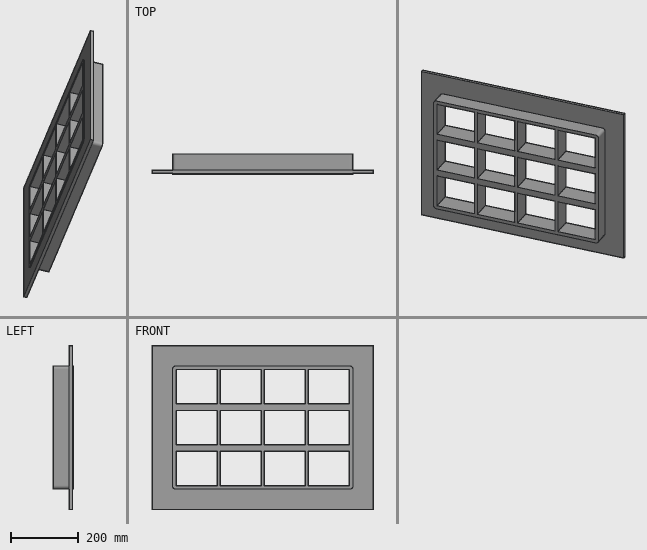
import cadquery as cq

plate_width = 652.0
plate_height = 483.0
plate_thickness = 10.0
flange_border = 60.0

columns = 4
rows = 3
opening_width = 120.0
opening_height = 100.5
upright_bar = 10.0
cross_bar = 20.0

frame_depth = 60.0
frame_lip = 2.5
corner_radius = 10.0

column_pitch = opening_width + upright_bar
row_pitch = opening_height + cross_bar
frame_width = plate_width - 2 * flange_border
frame_height = plate_height - 2 * flange_border


def block(width, depth, height, front):
    """Box centred on X and Z whose front face lies at Y = front."""
    return cq.Workplane("XY").box(width, depth, height, centered=(True, False, True)).translate((0, front, 0))


plate = block(plate_width, plate_thickness, plate_height, frame_lip)
frame = block(frame_width, frame_depth, frame_height, 0).edges("|Y").fillet(corner_radius)

openings = (
    cq.Workplane("XZ")
    .rarray(column_pitch, row_pitch, columns, rows)
    .rect(opening_width, opening_height)
    .extrude(-frame_depth)
)

result = plate.union(frame).cut(openings)